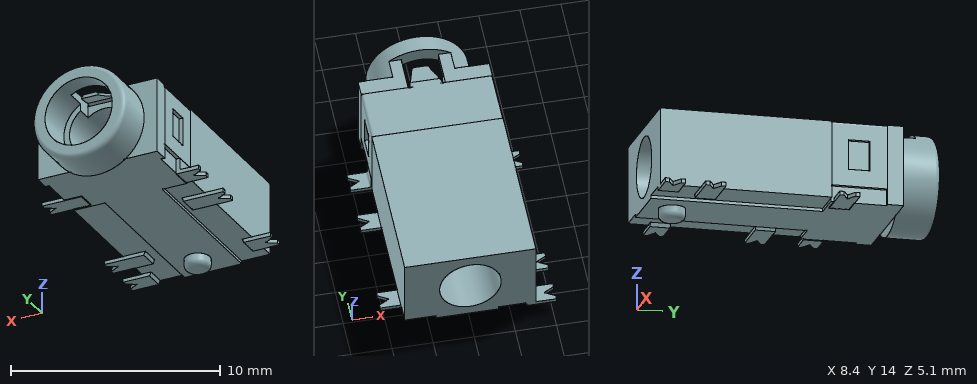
import cadquery as cq


block_width = 6.4
block_height = 3.99
block_length = 12.0
top_z = block_height / 2
bottom_z = -top_z
side_x = block_width / 2

bore_diameter = 3.0
nose_bore_diameter = 3.6

nose_diameter = 5.0
nose_end_y = 14.0
nose_end_fillet = 0.25
nose_flat_end_y = 13.0
slot_width = 1.8

peg_diameter = 1.3
peg_drop = 0.6
peg_y = 1.37
peg_fillet = 0.3

lead_thickness = 0.2
lead_width = 1.0
lead_reach_x = 4.2
lead_notch_depth = 0.5
lead_notch_width = 0.57
lead_end_bevel = 0.08
channel_depth = 0.15
lead_top_z = bottom_z + channel_depth
lead_bottom_z = lead_top_z - lead_thickness
left_channel_x = -1.68
right_channel_x = 1.39
short_lead_x = 2.77
long_lead_x = 2.07

rear_lead_y = 9.1

leads = [
    (-1, 1.48, short_lead_x),
    (-1, 6.5, long_lead_x),
    (1, lead_width / 2, short_lead_x),
    (1, 2.49, long_lead_x),
    (1, rear_lead_y, long_lead_x),
]

shield_front_y = 8.45
shield_rear_y = 11.2
shield_thickness = 0.2
shield_edge_fillet = 0.15
shield_skirt_z = -1.22
window_front_y = 9.28
window_rear_y = 10.33
window_top_z = 1.1
window_bottom_z = -0.38

leg_bend_radius = 0.11

tab_bend_y = 11.5
tab_knee_y = 12.59
tab_knee_z = 1.6
tab_tip_y = 12.8
tab_tip_z = 1.55
tab_root_width = 1.71
tab_tip_width = 0.88
tab_edge_fillet = 0.18


def box(x_min, x_max, y_min, y_max, z_min, z_max):
    """Box between the given limits."""
    size = (x_max - x_min, y_max - y_min, z_max - z_min)
    return cq.Workplane("XY").box(*size, centered=False).translate((x_min, y_min, z_min))


def cylinder_along_y(diameter, y_min, y_max):
    """Cylinder on the bore axis."""
    disc = cq.Workplane("XZ", origin=(0, y_min, 0)).circle(diameter / 2)
    return disc.extrude(y_min - y_max)


def lead_blank(side, lead_y, inner_x):
    """Flat solder lead with a V notch in its outer end."""
    sides = sorted((side * inner_x, side * lead_reach_x))
    half_width = lead_width / 2
    plate = box(*sides, lead_y - half_width, lead_y + half_width, lead_bottom_z, lead_top_z)
    notch = (
        cq.Workplane("XY", origin=(0, 0, lead_bottom_z))
        .moveTo(side * lead_reach_x, lead_y - lead_notch_width / 2)
        .lineTo(side * (lead_reach_x - lead_notch_depth), lead_y)
        .lineTo(side * lead_reach_x, lead_y + lead_notch_width / 2)
        .close()
        .extrude(lead_thickness)
    )
    return plate.cut(notch)


def lead(side, lead_y, inner_x):
    """Lead whose inner end leans inward towards its top."""
    top_inner_x = inner_x - lead_end_bevel
    wedge = (
        cq.Workplane("XZ", origin=(0, lead_y + lead_width / 2, 0))
        .moveTo(side * inner_x, lead_bottom_z)
        .lineTo(side * inner_x, lead_top_z)
        .lineTo(side * top_inner_x, lead_top_z)
        .close()
        .extrude(lead_width)
    )
    return lead_blank(side, lead_y, inner_x).union(wedge)


def make_shield():
    """Cap over the block top and sides, with its spring tab."""
    outer = box(-side_x, side_x, shield_front_y, shield_rear_y, shield_skirt_z, top_z)
    outer = outer.edges("|Y and >Z").fillet(shield_edge_fillet)
    inner_x = side_x - shield_thickness
    inner = box(
        -inner_x, inner_x, shield_front_y, shield_rear_y, shield_skirt_z, top_z - shield_thickness
    )
    windows = box(
        -side_x, side_x, window_front_y, window_rear_y, window_bottom_z, window_top_z
    )
    return outer.cut(inner).cut(windows).union(make_tab())


def make_tab():
    """Tapered spring tongue with rounded upper edges that dips through the slot into the bore."""
    upper_line = [
        (shield_rear_y, top_z),
        (tab_bend_y, top_z),
        (tab_knee_y, tab_knee_z),
        (tab_tip_y, tab_tip_z),
    ]
    lower_line = [(y, z - shield_thickness) for y, z in reversed(upper_line)]
    strip = cq.Workplane("YZ", origin=(-tab_root_width / 2, 0, 0))
    strip = strip.polyline(upper_line + lower_line).close().extrude(tab_root_width)
    taper = (
        cq.Workplane("XY")
        .moveTo(-tab_root_width / 2, shield_rear_y)
        .lineTo(tab_root_width / 2, shield_rear_y)
        .lineTo(tab_tip_width / 2, tab_tip_y)
        .lineTo(-tab_tip_width / 2, tab_tip_y)
        .close()
        .extrude(top_z)
    )
    tab = strip.intersect(taper)
    upper_faces = tab.faces().filter(lambda face: face.normalAt().z > 0.5)
    return upper_faces.edges("not |X").fillet(tab_edge_fillet)


def make_leg():
    """Separate solder leg that drops from under the -X skirt and bends outward."""
    front_y = rear_lead_y - lead_width / 2
    rear_y = rear_lead_y + lead_width / 2
    drop = box(
        -side_x, -side_x + shield_thickness, front_y, rear_y, lead_bottom_z, shield_skirt_z
    )
    foot = lead_blank(-1, rear_lead_y, side_x)
    bend = (
        cq.Workplane("XZ", origin=(0, rear_y, 0))
        .moveTo(-side_x, lead_top_z)
        .lineTo(-side_x, lead_top_z + leg_bend_radius)
        .radiusArc((-side_x - leg_bend_radius, lead_top_z), leg_bend_radius)
        .close()
        .extrude(lead_width)
    )
    return drop.union(foot).union(bend)


def seat_for_shield():
    """Band of the block's top and sides in which the shield sits flush."""
    inner_x = side_x - shield_thickness
    band = box(-side_x, side_x, shield_front_y, shield_rear_y, bottom_z, top_z)
    core = box(
        -inner_x, inner_x, shield_front_y, shield_rear_y, bottom_z, top_z - shield_thickness
    )
    return band.cut(core)


def make_peg():
    """Locating peg under the block."""
    disc = cq.Workplane("XY", origin=(0, peg_y, bottom_z)).circle(peg_diameter / 2)
    return disc.extrude(-peg_drop).faces("<Z").edges().fillet(peg_fillet)


def make_housing():
    block = box(-side_x, side_x, 0, block_length, bottom_z, top_z)

    nose = cylinder_along_y(nose_diameter, block_length, nose_end_y)
    nose = nose.faces(">Y").edges().fillet(nose_end_fillet)
    flat_part = box(-side_x, side_x, block_length, nose_flat_end_y, top_z, nose_diameter)
    nose = nose.cut(flat_part)

    body = block.union(nose)
    body = body.cut(cylinder_along_y(bore_diameter, 0, block_length))
    body = body.cut(cylinder_along_y(nose_bore_diameter, block_length, nose_end_y))

    half_slot = slot_width / 2
    body = body.cut(box(-half_slot, half_slot, shield_rear_y, nose_flat_end_y, 0, top_z))
    body = body.cut(seat_for_shield())

    body = body.cut(box(-side_x, left_channel_x, 0, shield_front_y, bottom_z, lead_top_z))
    body = body.cut(box(right_channel_x, side_x, 0, shield_front_y, bottom_z, lead_top_z))

    body = body.union(make_peg())
    for side, lead_y, inner_x in leads:
        body = body.union(lead(side, lead_y, inner_x))
    return body


housing = make_housing()
shield = make_shield()
leg = make_leg()
result = cq.Compound.makeCompound([housing.val(), shield.val(), leg.val()])